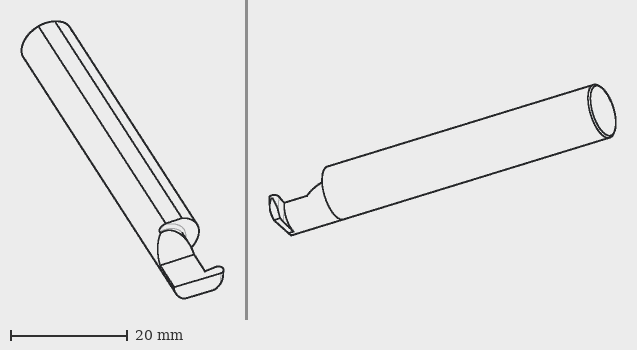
import cadquery as cq
import math

LENGTH = 63.5
SHANK_LENGTH = 52.7
SHANK_RADIUS = 4.75
FLAT_HEIGHT = 4.5
REAR_CHAMFER = 0.3

NECK_RADIUS = 3.8
NECK_SIDE = 1.65
NECK_CENTER_Y = NECK_SIDE - NECK_RADIUS
SHOULDER_FILLET = 0.6

FACE_START = 57.45
RAMP_TOP = SHANK_RADIUS
RAMP_END = FACE_START - RAMP_TOP

HOOK_RADIUS = 0.9
HOOK_REACH = SHANK_RADIUS
HOOK_ROOT_X = 61.9
FRONT_CLEARANCE_ANGLE = 3.0
FRONT_SETBACK = 0.25
HOOK_TAPER = 3.0


def make_shank():
    bar = cq.Workplane("YZ").circle(SHANK_RADIUS).extrude(SHANK_LENGTH)
    bar = bar.faces("<X").chamfer(REAR_CHAMFER)
    below_flat = cq.Workplane("XY").box(
        SHANK_LENGTH, 2 * SHANK_RADIUS, FLAT_HEIGHT + SHANK_RADIUS, centered=(False, True, False)
    ).translate((0, 0, -SHANK_RADIUS))
    return bar.intersect(below_flat)


def make_envelope():
    """Full-length cylinder that neck and hook stay inside."""
    return cq.Workplane("YZ").circle(SHANK_RADIUS).extrude(LENGTH)


def make_neck():
    """Eccentric neck with a concave flare where it meets the shank."""
    flare_end = SHANK_LENGTH + SHOULDER_FILLET
    flare_radius = NECK_RADIUS + SHOULDER_FILLET
    arc_inset = SHOULDER_FILLET * (1 - math.sqrt(0.5))
    neck = (
        cq.Workplane("XY")
        .moveTo(SHANK_LENGTH, 0)
        .lineTo(SHANK_LENGTH, flare_radius)
        .threePointArc((SHANK_LENGTH + arc_inset, NECK_RADIUS + arc_inset), (flare_end, NECK_RADIUS))
        .lineTo(LENGTH, NECK_RADIUS)
        .lineTo(LENGTH, 0)
        .close()
        .revolve(360, (0, 0, 0), (1, 0, 0))
        .translate((0, NECK_CENTER_Y, 0))
    )
    ramp_cut = (
        cq.Workplane("XZ")
        .moveTo(FACE_START, 0)
        .lineTo(LENGTH, 0)
        .lineTo(LENGTH, RAMP_TOP)
        .lineTo(RAMP_END, RAMP_TOP)
        .close()
        .extrude(SHANK_RADIUS, both=True)
    )
    return neck.intersect(make_envelope()).cut(ramp_cut)


def make_front_relief():
    """Block whose near face leans back towards -Y and towards the bottom."""
    block_size = 4 * SHANK_RADIUS
    slant_angle = math.degrees(math.atan2(FRONT_SETBACK, HOOK_REACH - HOOK_RADIUS + SHANK_RADIUS))
    return (
        cq.Workplane("XY")
        .box(block_size, block_size, block_size, centered=(False, True, True))
        .rotate((0, 0, 0), (0, 1, 0), FRONT_CLEARANCE_ANGLE)
        .rotate((0, 0, 0), (0, 0, 1), -slant_angle)
        .translate((LENGTH, HOOK_REACH - HOOK_RADIUS, 0))
    )


def make_hook():
    """Hook outline below the cutting face, tapering downwards inside the shank cylinder."""
    tip_center_y = HOOK_REACH - HOOK_RADIUS
    hook = (
        cq.Workplane("XY")
        .moveTo(LENGTH, NECK_CENTER_Y)
        .lineTo(LENGTH, tip_center_y)
        .threePointArc((LENGTH - HOOK_RADIUS, HOOK_REACH), (LENGTH - 2 * HOOK_RADIUS, tip_center_y))
        .lineTo(HOOK_ROOT_X, NECK_SIDE)
        .lineTo(HOOK_ROOT_X, NECK_CENTER_Y)
        .close()
        .extrude(-NECK_RADIUS, taper=HOOK_TAPER)
    )
    return hook.intersect(make_envelope())


result = make_shank().union(make_neck()).union(make_hook()).cut(make_front_relief())